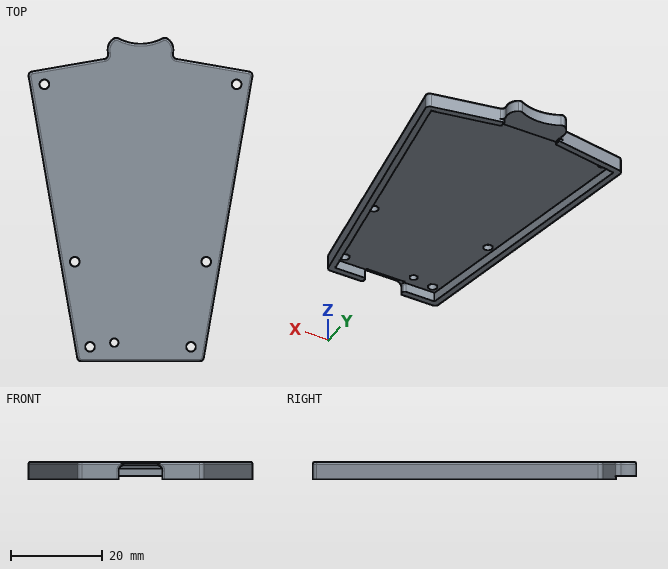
import cadquery as cq
import math

height = 3.85
length = 71.1
wall = 1.5
corner_radius = 1.0
edge_radius = 0.5

base_half = 13.8
side_lean = math.radians(9.8)
apex_y = 67.8

ear_radius = 3.0
ear_x = 4.25
ear_tip_x = 5.3
scoop_radius = 10.5
tab_bottom_z = 0.7
neck_half = 6.9

notch_half = 4.75
notch_top_z = 3.1
notch_corner_radius = 1.2

screw_diameter = 2.05
screw_places = [(21.1, 60.85), (14.4, 21.9), (11.1, 3.2)]
pin_diameter = 1.8
pin_place = (-5.75, 4.1)

ceiling_z = height - wall
lean = math.tan(side_lean)

corner_x = (base_half + lean * apex_y) / (1 + lean**2)
corner_y = apex_y - lean * corner_x

tip_y = length - corner_radius
ear_y = tip_y - math.sqrt((ear_radius - corner_radius) ** 2 - (ear_tip_x - ear_x) ** 2)
scoop_y = tip_y + math.sqrt((scoop_radius + corner_radius) ** 2 - ear_tip_x**2)

tab_front_y = apex_y - lean * neck_half - wall / math.cos(side_lean)


def tapered_outline():
    """Five-sided outline of the body with sharp corners."""
    return cq.Workplane("XY").polyline([
        (-base_half, 0),
        (base_half, 0),
        (corner_x, corner_y),
        (0, apex_y),
        (-corner_x, corner_y),
    ]).close()


def make_tab():
    """Eared tab with a flat front face that closes the rear end of the cavity."""
    thickness = height - tab_bottom_z
    rear_y = ear_y + ear_radius
    base = cq.Workplane("XY").workplane(offset=tab_bottom_z)
    ears = base.pushPoints([(-ear_x, ear_y), (ear_x, ear_y)]).circle(ear_radius).extrude(thickness)
    middle = base.center(0, (tab_front_y + rear_y) / 2)
    middle = middle.rect(2 * ear_x, rear_y - tab_front_y).extrude(thickness)
    scoop = base.center(0, scoop_y).circle(scoop_radius).extrude(thickness)
    return ears.union(middle).cut(scoop)


def make_outer_body():
    """Solid body and tab with rounded corners and a rounded top edge."""
    body = tapered_outline().extrude(height)
    body = body.edges("|Z").edges("<X or >X or <Y").fillet(corner_radius)
    body = body.union(make_tab())
    tab_zone = cq.selectors.BoxSelector(
        (-2 * neck_half, tab_front_y, tab_bottom_z), (2 * neck_half, length + wall, height)
    )
    body = body.edges("|Z").edges(tab_zone).fillet(corner_radius)
    return body.faces(">Z").edges().fillet(edge_radius)


def make_cavity():
    """Hollow open at the bottom, and the opening that continues it under the tab."""
    hollow = tapered_outline().offset2D(-wall).extrude(ceiling_z)
    below_tab = cq.Workplane("XY").center(0, (tab_front_y + length) / 2)
    tab_block = below_tab.rect(2 * neck_half, length - tab_front_y).extrude(height)
    opening = below_tab.rect(2 * neck_half, length - tab_front_y).extrude(tab_bottom_z)
    return hollow.cut(tab_block).union(opening)


def make_notch():
    """Cable notch with round upper corners, flared at the outer face of the rim."""
    throat = cq.Workplane("XY").box(2 * notch_half, wall, 2 * notch_top_z, centered=(True, False, True))
    throat = throat.edges("|Y").fillet(notch_corner_radius)
    outside = cq.Workplane("XY").box(2 * base_half, wall, 4 * height, centered=(True, False, True))
    notch = throat.union(outside.translate((0, -wall, 0)))
    flare_zone = cq.selectors.BoxSelector(
        (-notch_half - wall, -edge_radius, -height), (notch_half + wall, edge_radius, height)
    )
    return notch.edges(flare_zone).fillet(edge_radius)


def make_holes():
    """Through holes for the mirrored screws and for the pin."""
    places = [(side * x, y) for x, y in screw_places for side in (-1, 1)]
    screws = cq.Workplane("XY").pushPoints(places).circle(screw_diameter / 2).extrude(height)
    pin = cq.Workplane("XY").pushPoints([pin_place]).circle(pin_diameter / 2).extrude(height)
    return screws.union(pin)


def round_inner_notch_edges(cover):
    """Round the edges where the notch opens into the cavity: the roof first, then the two sides."""
    margin = 0.1
    front, back = wall - margin, wall + margin
    reach = notch_half + margin
    side_top_z = notch_top_z - notch_corner_radius + margin
    roof_zone = cq.selectors.BoxSelector(
        (-reach, front, ceiling_z - margin), (reach, back, ceiling_z + margin)
    )
    side_zone = cq.selectors.BoxSelector((-reach, front, 0), (reach, back, side_top_z))
    cover = cover.edges(roof_zone).fillet(edge_radius)
    return cover.edges(side_zone).fillet(edge_radius)


cover = make_outer_body().cut(make_cavity()).cut(make_notch())
result = round_inner_notch_edges(cover).cut(make_holes())